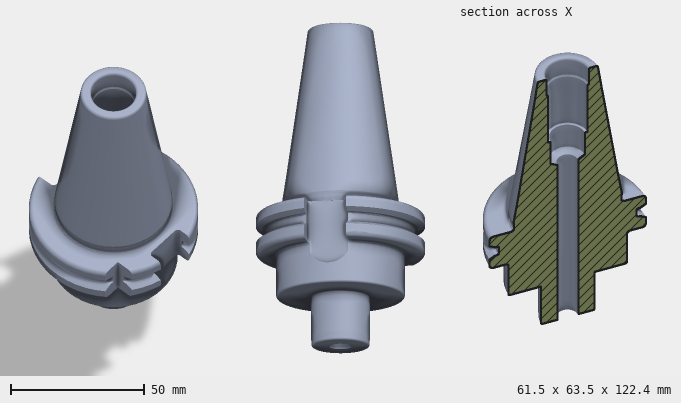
import cadquery as cq
import math


overall_height = 122.4

taper_top = 68.4
gauge_radius = 44.4 / 2
taper_slope = 7 / 48
top_round = 1.1
taper_end = 0.9
neck_radius = 21.9
neck_shoulder = -0.2
neck_root_round = 1.0

flange_radius = 63.5 / 2
flange_top = -3.2
flange_bottom = -19.1
flange_round = 1.7
groove_radius = 28.0
groove_centre = -11.0
groove_mouth_width = 6.6
groove_floor_width = 3.9
groove_side_angle = 30
groove_floor_round = 0.6

body_radius = 24.1
body_bottom = -35.0
body_edge_round = 0.7
body_root_round = 1.0

pilot_radius = 11.0
pilot_bottom = taper_top - overall_height
undercut_radius = 10.9
undercut_width = 1.1
undercut_root_round = 0.4
undercut_run_out = 1.5
lead_in_height = 3.2
lead_in_radius = 10.9
pilot_edge_round = 0.7

mouth_round = 1.0
counterbore_radius = 8.5
counterbore_depth = 8.0
thread_radius = 8.0
thread_chamfer_height = 0.7
thread_depth = 31.8
drill_radius = 6.9
drill_depth = 42.8
drill_tip_angle = 118
through_radius = 4.2

slot_width = 16.0
slot_corner_round = 1.5
slot_end_centre = -19.5
left_slot_floor = 22.8
right_slot_floor = 25.0
notch_offset = 18.6


def revolve_profile(profile):
    """Close a half profile on the Z axis and turn it a full circle."""
    return profile.close().revolve(360, (0, 0, 0), (0, 1, 0))


def shank():
    """Taper, flange, body and pilot turned in one profile."""
    top_radius = gauge_radius - taper_slope * taper_top
    taper_angle = math.atan(taper_slope)
    round_setback = top_round * math.tan((math.pi / 2 - taper_angle) / 2)
    round_end_radius = top_radius + round_setback * math.sin(taper_angle)
    round_end_height = taper_top - round_setback * math.cos(taper_angle)
    taper_end_radius = gauge_radius - taper_slope * taper_end
    mouth_half = groove_mouth_width / 2
    floor_half = groove_floor_width / 2
    side_run = (mouth_half - floor_half) / math.tan(math.radians(groove_side_angle))
    profile = (
        cq.Workplane("XZ")
        .moveTo(0, taper_top)
        .lineTo(top_radius - round_setback, taper_top)
        .radiusArc((round_end_radius, round_end_height), top_round)
        .lineTo(taper_end_radius, taper_end)
        .lineTo(neck_radius, neck_shoulder)
        .lineTo(neck_radius, flange_top + neck_root_round)
        .radiusArc((neck_radius + neck_root_round, flange_top), -neck_root_round)
        .lineTo(flange_radius - flange_round, flange_top)
        .radiusArc((flange_radius, flange_top - flange_round), flange_round)
        .lineTo(flange_radius, groove_centre + mouth_half)
        .lineTo(flange_radius - side_run, groove_centre + floor_half)
        .lineTo(groove_radius + groove_floor_round, groove_centre + floor_half)
        .radiusArc((groove_radius, groove_centre + floor_half - groove_floor_round), -groove_floor_round)
        .lineTo(groove_radius, groove_centre - floor_half + groove_floor_round)
        .radiusArc((groove_radius + groove_floor_round, groove_centre - floor_half), -groove_floor_round)
        .lineTo(flange_radius - side_run, groove_centre - floor_half)
        .lineTo(flange_radius, groove_centre - mouth_half)
        .lineTo(flange_radius, flange_bottom + flange_round)
        .radiusArc((flange_radius - flange_round, flange_bottom), flange_round)
        .lineTo(body_radius + body_root_round, flange_bottom)
        .radiusArc((body_radius, flange_bottom - body_root_round), -body_root_round)
        .lineTo(body_radius, body_bottom + body_edge_round)
        .radiusArc((body_radius - body_edge_round, body_bottom), body_edge_round)
        .lineTo(undercut_radius + undercut_root_round, body_bottom)
        .radiusArc((undercut_radius, body_bottom - undercut_root_round), -undercut_root_round)
        .lineTo(undercut_radius, body_bottom - undercut_width)
        .lineTo(pilot_radius, body_bottom - undercut_width - undercut_run_out)
        .lineTo(pilot_radius, pilot_bottom + lead_in_height)
        .lineTo(lead_in_radius, pilot_bottom + pilot_edge_round)
        .radiusArc((lead_in_radius - pilot_edge_round, pilot_bottom), pilot_edge_round)
        .lineTo(0, pilot_bottom)
    )
    return revolve_profile(profile)


def stepped_bore():
    """Counterbore, thread hole and drilled hole with its tip, then a clearance hole to the bottom."""
    tip_height = (drill_radius - through_radius) / math.tan(math.radians(drill_tip_angle / 2))
    drill_end = taper_top - drill_depth
    profile = (
        cq.Workplane("XZ")
        .moveTo(0, taper_top)
        .lineTo(counterbore_radius + mouth_round, taper_top)
        .radiusArc((counterbore_radius, taper_top - mouth_round), -mouth_round)
        .lineTo(counterbore_radius, taper_top - counterbore_depth)
        .lineTo(thread_radius, taper_top - counterbore_depth - thread_chamfer_height)
        .lineTo(thread_radius, taper_top - thread_depth)
        .lineTo(drill_radius, taper_top - thread_depth)
        .lineTo(drill_radius, drill_end)
        .lineTo(through_radius, drill_end - tip_height)
        .lineTo(through_radius, pilot_bottom)
        .lineTo(0, pilot_bottom)
    )
    return revolve_profile(profile)


def driving_slot(floor, side):
    """Slot from the flange top with rounded floor corners and a round lower end; side is -1 or +1 along X."""
    half = slot_width / 2
    depth = flange_radius - floor
    slot_bottom = slot_end_centre - half
    channel = (
        cq.Workplane("XY", origin=(0, 0, slot_bottom))
        .center(side * (floor + depth), 0)
        .rect(2 * depth, slot_width)
        .extrude(flange_top - slot_bottom)
        .edges("|Z")
        .fillet(slot_corner_round)
    )
    outline = (
        cq.Workplane("YZ", origin=(side * floor, 0, 0))
        .moveTo(half, flange_top)
        .lineTo(half, slot_end_centre)
        .threePointArc((0, slot_bottom), (-half, slot_end_centre))
        .lineTo(-half, flange_top)
        .close()
        .extrude(side * depth)
    )
    return channel.intersect(outline)


def orientation_notch():
    """Square notch through the full flange height at the +X, -Y corner."""
    height = flange_top - flange_bottom
    return (
        cq.Workplane("XY")
        .box(flange_radius, flange_radius, height, centered=False)
        .translate((notch_offset, -notch_offset - flange_radius, flange_bottom))
    )


result = (
    shank()
    .cut(stepped_bore())
    .cut(driving_slot(left_slot_floor, -1))
    .cut(driving_slot(right_slot_floor, 1))
    .cut(orientation_notch())
)